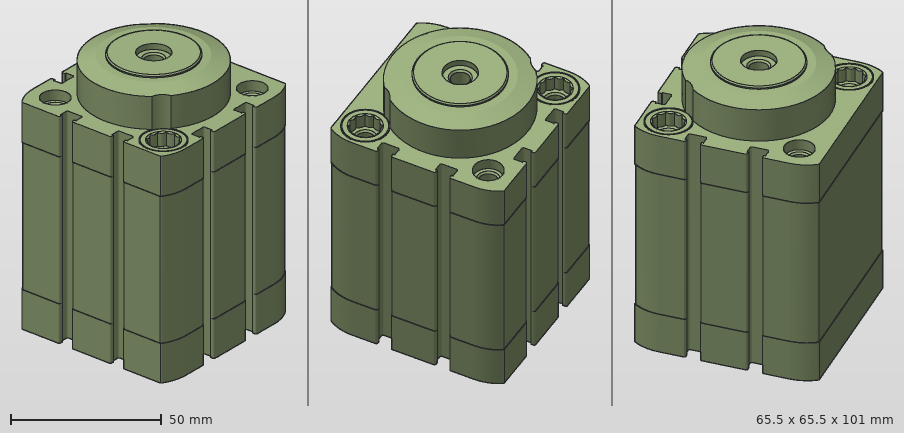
import cadquery as cq
import math

total_height = 101.0
deck_z = 85.6
collar_edge_z = 98.1
collar_top_z = 100.0
lower_cap_height = 14.9
upper_cap_bottom_z = 70.4

body_width = 65.5
barrel_inset = 0.2
side_flat_half = 23.2
bow_sag = 2.6
corner_bevel = 0.5

slot_offset = 11.0
slot_mouth_width = 5.3
slot_inner_width = 6.6
slot_depth = 4.9
slot_lip = 1.5
slot_mouth_radius = 0.6
slot_floor_radius = 0.6

collar_diameter = 51.0
collar_top_diameter = 38.4

fixing_offset = 23.2
fixing_bore_diameter = 6.7
bore_mouth_diameter = 8.0
counterbore_diameter = 10.5
counterbore_depth = 3.9
screw_head_diameter = 16.4
screw_head_bevel = 0.4
socket_mouth_diameter = 12.0
socket_mouth_angle = 30.0
socket_across_flats = 10.0
socket_depth = 5.4
hexagon_turn = 30.0

rod_diameter = 32.0
rod_bottom_z = upper_cap_bottom_z
rod_bevel = 0.5
rod_counterbore_diameter = 12.0
rod_counterbore_depth = 2.2
rod_bore_diameter = 6.7
rod_bore_depth = 20.2
drill_point_angle = 118.0

plain_fixings = [(fixing_offset, fixing_offset), (-fixing_offset, -fixing_offset)]
screw_fixings = [(-fixing_offset, fixing_offset), (fixing_offset, -fixing_offset)]


def turned(profile):
    """Solid of revolution on the Z axis from (radius, z) points that close along the axis."""
    return cq.Workplane("XZ").polyline(profile).close().revolve(360, (0, 0, 0), (0, 1, 0))


def layer(bottom_z):
    """Sketching plane at height bottom_z."""
    return cq.Workplane("XY").workplane(offset=bottom_z)


def body_outline(half_width):
    """Closed outline of the body: flat sides, with bowed corners that are tangent to the X sides."""
    tip_x = half_width - bow_sag
    tip_y = half_width - corner_bevel
    bow_rise = tip_y - side_flat_half
    bow_radius = (bow_rise**2 + bow_sag**2) / (2 * bow_sag)
    half_sweep = math.atan(bow_sag / bow_rise)
    mid_x = half_width - bow_radius * (1 - math.cos(half_sweep))
    mid_y = side_flat_half + bow_radius * math.sin(half_sweep)
    return (
        cq.Workplane("XY")
        .moveTo(0, half_width)
        .lineTo(tip_x - corner_bevel, half_width)
        .lineTo(tip_x, tip_y)
        .threePointArc((mid_x, mid_y), (half_width, side_flat_half))
        .lineTo(half_width, -side_flat_half)
        .threePointArc((mid_x, -mid_y), (tip_x, -tip_y))
        .lineTo(tip_x - corner_bevel, -half_width)
        .lineTo(0, -half_width)
        .mirrorY()
    )


def slot_cutter(half_width, height):
    """T-slot that opens through the -Y face at X = 0, with a rounded mouth and rounded floor corners."""
    mouth = slot_mouth_width / 2
    inner = slot_inner_width / 2
    face_y = -half_width
    lip_y = -body_width / 2 + slot_lip
    floor_y = -body_width / 2 + slot_depth
    right_half = (
        cq.Workplane("XY")
        .moveTo(0, face_y)
        .lineTo(mouth + slot_mouth_radius, face_y)
        .radiusArc((mouth, face_y + slot_mouth_radius), slot_mouth_radius)
        .lineTo(mouth, lip_y)
        .lineTo(inner, lip_y)
        .lineTo(inner, floor_y - slot_floor_radius)
        .radiusArc((inner - slot_floor_radius, floor_y), -slot_floor_radius)
        .lineTo(0, floor_y)
    )
    return right_half.mirrorY().extrude(height)


def body_section(inset, bottom_z, top_z):
    """One length of the slotted body, its faces set in from the full width by inset."""
    half_width = body_width / 2 - inset
    height = top_z - bottom_z
    section = body_outline(half_width).extrude(height)
    for side_angle in (-90, 0, 90):
        for offset in (-slot_offset, slot_offset):
            slot = slot_cutter(half_width, height).translate((offset, 0, 0))
            section = section.cut(slot.rotate((0, 0, 0), (0, 0, 1), side_angle))
    return section.translate((0, 0, bottom_z))


def make_collar():
    """Round collar on the deck with a shallow conical shoulder."""
    return turned([
        (0, deck_z),
        (collar_diameter / 2, deck_z),
        (collar_diameter / 2, collar_edge_z),
        (collar_top_diameter / 2, collar_top_z),
        (0, collar_top_z),
    ])


def bore_cutter(floor_z):
    """Through bore with a 45 degree countersunk mouth at floor_z."""
    bore_radius = fixing_bore_diameter / 2
    mouth_radius = bore_mouth_diameter / 2
    return turned([
        (0, 0),
        (bore_radius, 0),
        (bore_radius, floor_z - (mouth_radius - bore_radius)),
        (mouth_radius, floor_z),
        (0, floor_z),
    ])


def counterbore_cutter(floor_z):
    """Counterbore from the deck down to floor_z."""
    return layer(floor_z).circle(counterbore_diameter / 2).extrude(deck_z - floor_z)


def plain_fixing_cutter():
    """Counterbored through hole."""
    floor_z = deck_z - counterbore_depth
    return bore_cutter(floor_z).union(counterbore_cutter(floor_z))


def screw_head_cutter():
    """Clearance in the collar above the screw head and the V-groove around the head."""
    head_radius = screw_head_diameter / 2
    clearance = layer(deck_z).circle(head_radius).extrude(total_height - deck_z)
    groove = turned([
        (head_radius - screw_head_bevel, deck_z),
        (head_radius, deck_z - screw_head_bevel),
        (head_radius, deck_z),
    ])
    return clearance.union(groove)


def socket_cutter():
    """Twelve-point socket broached into a counterbore, with a countersunk mouth, above the through bore."""
    floor_z = deck_z - socket_depth
    corner_diameter = socket_across_flats / math.cos(math.pi / 6)
    mouth_radius = socket_mouth_diameter / 2
    flat_radius = socket_across_flats / 2
    mouth_depth = (mouth_radius - flat_radius) * math.tan(math.radians(socket_mouth_angle))
    mouth = turned([
        (0, deck_z - mouth_depth),
        (flat_radius, deck_z - mouth_depth),
        (mouth_radius, deck_z),
        (0, deck_z),
    ])
    cutter = bore_cutter(floor_z).union(mouth).union(counterbore_cutter(floor_z))
    for turn in (0, hexagon_turn):
        hexagon = layer(floor_z).polygon(6, corner_diameter).extrude(socket_depth)
        cutter = cutter.union(hexagon.rotate((0, 0, 0), (0, 0, 1), turn))
    return cutter


def make_rod_blank():
    """Piston rod without its threaded hole, bevelled at the free end."""
    rod_radius = rod_diameter / 2
    return turned([
        (0, rod_bottom_z),
        (rod_radius, rod_bottom_z),
        (rod_radius, total_height - rod_bevel),
        (rod_radius - rod_bevel, total_height),
        (0, total_height),
    ])


def rod_hole_cutter():
    """Counterbored blind hole with a countersunk mouth and a drill point."""
    bore_radius = rod_bore_diameter / 2
    mouth_radius = bore_mouth_diameter / 2
    counterbore_radius = rod_counterbore_diameter / 2
    floor_z = total_height - rod_counterbore_depth
    bore_bottom_z = total_height - rod_bore_depth
    point_height = bore_radius / math.tan(math.radians(drill_point_angle / 2))
    return turned([
        (0, bore_bottom_z - point_height),
        (bore_radius, bore_bottom_z),
        (bore_radius, floor_z - (mouth_radius - bore_radius)),
        (mouth_radius, floor_z),
        (counterbore_radius, floor_z),
        (counterbore_radius, total_height),
        (0, total_height),
    ])


def make_housing():
    housing = body_section(0, 0, lower_cap_height)
    housing = housing.union(body_section(barrel_inset, lower_cap_height, upper_cap_bottom_z))
    housing = housing.union(body_section(0, upper_cap_bottom_z, deck_z))
    housing = housing.union(make_collar())
    for x, y in plain_fixings:
        housing = housing.cut(plain_fixing_cutter().translate((x, y, 0)))
    for x, y in screw_fixings:
        housing = housing.cut(screw_head_cutter().translate((x, y, 0)))
        housing = housing.cut(socket_cutter().translate((x, y, 0)))
    return housing.cut(make_rod_blank())


def make_piston_rod():
    return make_rod_blank().cut(rod_hole_cutter())


housing = make_housing()
piston_rod = make_piston_rod()

result = cq.Compound.makeCompound([housing.solids().val(), piston_rod.solids().val()])